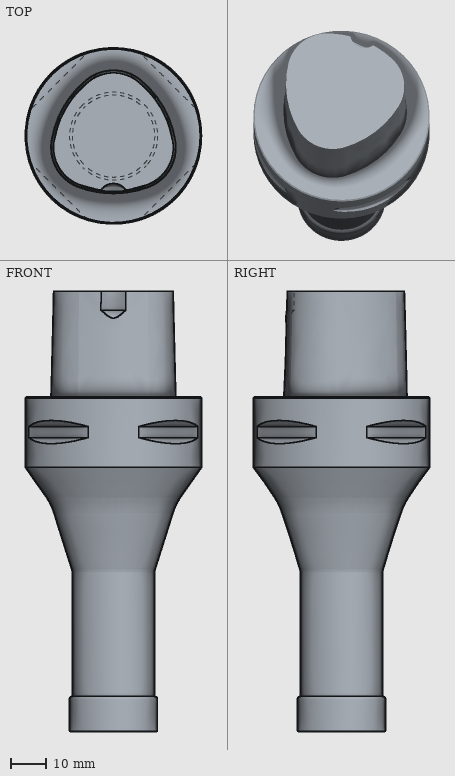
import cadquery as cq
import math


SHANK_HEIGHT = 30.0
SHANK_TAPER = 0.8
CORNER_RADIUS = 11.2
CORNER_CENTRE_DISTANCE = 6.6
FLAT_DISTANCE = 15.6

NOTCH_RADIUS = 4.1
NOTCH_WALL_Y = -13.5
NOTCH_DEPTH = 5.4

FLANGE_DIAMETER = 50.0
FLANGE_HEIGHT = 20.0
FLANGE_CHAMFER = 0.4

SLOT_COUNT = 4
SLOT_FLOOR_DISTANCE = 22.0
SLOT_FLOOR_WIDTH = 3.1
SLOT_MID_Z = -FLANGE_HEIGHT / 2
SLOT_WALL_ANGLE = 30.0

NECK_BLEND_TOP = (19.0, -28.5)
NECK_BLEND_MIDDLE = (17.8, -30.8)
NECK_BLEND_BOTTOM = (16.9, -33.0)
NECK_CONE_END_Z = -49.4
NECK_DIAMETER = 23.4
NECK_FILLET_RADIUS = 2.5

NUT_DIAMETER = 25.0
NUT_HEIGHT = 10.0
NUT_TOP_FILLET = (NUT_DIAMETER - NECK_DIAMETER) / 2
NUT_BOTTOM_FILLET = 0.5

TOTAL_HEIGHT = 125.0
BOTTOM_Z = SHANK_HEIGHT - TOTAL_HEIGHT
NUT_TOP_Z = BOTTOM_Z + NUT_HEIGHT


def polar(distance, angle):
    """Point at a distance from the axis, angle in degrees from +X."""
    return (distance * math.cos(math.radians(angle)), distance * math.sin(math.radians(angle)))


def polygon_wire(z, offset):
    """Three-lobed outline with one corner towards +Y, grown outward by offset."""
    inset = FLAT_DISTANCE - CORNER_RADIUS
    flat_centre = (CORNER_CENTRE_DISTANCE**2 - inset**2) / (2 * inset - CORNER_CENTRE_DISTANCE)
    flat_half_angle = math.degrees(math.atan2(
        CORNER_CENTRE_DISTANCE * math.sin(math.radians(60)),
        flat_centre + CORNER_CENTRE_DISTANCE * math.cos(math.radians(60)),
    ))
    corner_radius = CORNER_RADIUS + offset
    corner_half_angle = 60 - flat_half_angle

    def corner_point(corner_angle, turn):
        centre = polar(CORNER_CENTRE_DISTANCE, corner_angle)
        reach = polar(corner_radius, corner_angle + turn)
        return (centre[0] + reach[0], centre[1] + reach[1])

    outline = cq.Workplane("XY", origin=(0, 0, z)).moveTo(*corner_point(90, -corner_half_angle))
    for corner_angle in (90, 210, 330):
        outline = outline.threePointArc(
            corner_point(corner_angle, 0), corner_point(corner_angle, corner_half_angle)
        )
        outline = outline.threePointArc(
            polar(FLAT_DISTANCE + offset, corner_angle + 60),
            corner_point(corner_angle + 120, -corner_half_angle),
        )
    return outline.close().val()


def make_shank():
    wires = [polygon_wire(0, SHANK_TAPER), polygon_wire(SHANK_HEIGHT, 0)]
    return cq.Workplane(cq.Solid.makeLoft(wires, True))


def make_notch_cutter():
    """Drill shape parallel to Z: a cylinder ending in a 45 degree tip."""
    return (
        cq.Workplane("XZ")
        .polyline([(0, 0), (NOTCH_RADIUS, 0), (NOTCH_RADIUS, -NOTCH_DEPTH), (0, -NOTCH_DEPTH - NOTCH_RADIUS)])
        .close()
        .revolve(360, (0, 0), (0, 1))
        .translate((0, NOTCH_WALL_Y - NOTCH_RADIUS, SHANK_HEIGHT))
    )


def make_turned_body():
    """Flange, tapering neck and straight cylinder, down to the nut."""
    flange_radius = FLANGE_DIAMETER / 2
    neck_radius = NECK_DIAMETER / 2
    body = (
        cq.Workplane("XZ")
        .lineTo(flange_radius - FLANGE_CHAMFER, 0)
        .lineTo(flange_radius, -FLANGE_CHAMFER)
        .lineTo(flange_radius, -FLANGE_HEIGHT)
        .lineTo(*NECK_BLEND_TOP)
        .threePointArc(NECK_BLEND_MIDDLE, NECK_BLEND_BOTTOM)
        .lineTo(neck_radius, NECK_CONE_END_Z)
        .lineTo(neck_radius, NUT_TOP_Z)
        .lineTo(0, NUT_TOP_Z)
        .close()
        .revolve(360, (0, 0), (0, 1))
    )
    cone_end = cq.selectors.NearestToPointSelector((0, 0, NECK_CONE_END_Z))
    return body.edges("%CIRCLE").edges(cone_end).fillet(NECK_FILLET_RADIUS)


def make_slot_cutter(angle):
    """Trapezoidal groove with a flat floor, widening outward, facing the given angle."""
    depth = FLANGE_DIAMETER / 2 - SLOT_FLOOR_DISTANCE
    half_floor = SLOT_FLOOR_WIDTH / 2
    half_mouth = half_floor + depth * math.tan(math.radians(SLOT_WALL_ANGLE))
    return (
        cq.Workplane("XZ")
        .polyline([
            (SLOT_FLOOR_DISTANCE, SLOT_MID_Z - half_floor),
            (SLOT_FLOOR_DISTANCE + depth, SLOT_MID_Z - half_mouth),
            (SLOT_FLOOR_DISTANCE + depth, SLOT_MID_Z + half_mouth),
            (SLOT_FLOOR_DISTANCE, SLOT_MID_Z + half_floor),
        ])
        .close()
        .extrude(FLANGE_DIAMETER / 2, both=True)
        .rotate((0, 0, 0), (0, 0, 1), angle)
    )


def make_holder():
    holder = make_turned_body().union(make_shank()).cut(make_notch_cutter())
    slot_pitch = 360 / SLOT_COUNT
    for index in range(SLOT_COUNT):
        holder = holder.cut(make_slot_cutter((index + 0.5) * slot_pitch))
    return holder


def make_nut():
    return (
        cq.Workplane("XY", origin=(0, 0, BOTTOM_Z))
        .circle(NUT_DIAMETER / 2)
        .extrude(NUT_HEIGHT)
        .faces(">Z").edges().fillet(NUT_TOP_FILLET)
        .faces("<Z").edges().fillet(NUT_BOTTOM_FILLET)
    )


holder = make_holder()
nut = make_nut()
result = cq.Compound.makeCompound([holder.val(), nut.val()])